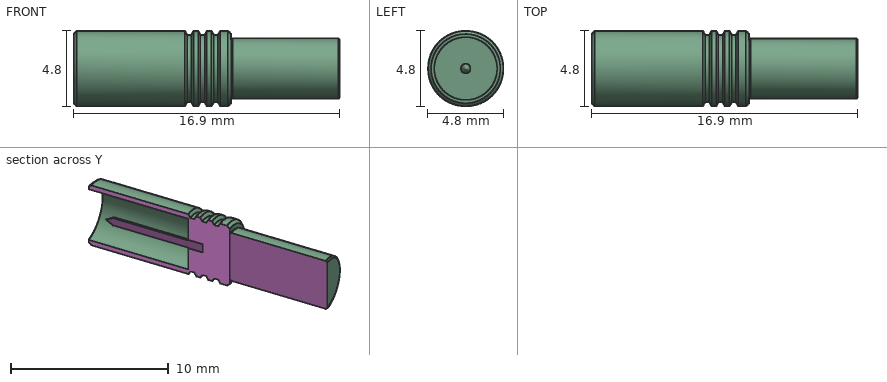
import cadquery as cq
import math

total_length = 16.9
front_x = -total_length / 2
rear_x = front_x + total_length

housing_radius = 2.4
housing_length = 10.0
housing_chamfer = 0.2
bore_radius = 2.0
bore_depth = 7.05

groove_count = 3
first_groove_offset = 7.06
groove_pitch = 0.85
groove_width = 0.55
groove_depth = 0.25
groove_wall_angle = 60.0
groove_wall_run = groove_depth / math.tan(math.radians(groove_wall_angle))

stem_radius = 1.93
stem_chamfer = 0.1

pin_radius = 0.3
pin_tip_offset = 1.2
pin_tip_length = 0.52
pin_seat_depth = 1.01

housing_rear_x = front_x + housing_length
bore_floor_x = front_x + bore_depth
pin_tip_x = front_x + pin_tip_offset
pin_rear_x = bore_floor_x + pin_seat_depth


def cylinder(start_x, end_x, radius):
    """Solid cylinder along X."""
    return cq.Workplane("YZ", origin=(start_x, 0, 0)).circle(radius).extrude(end_x - start_x)


def revolve_profile(points):
    """Turn a closed (x, radius) outline about the X axis."""
    return cq.Workplane("XY").polyline(points).close().revolve(360, (0, 0, 0), (1, 0, 0))


def make_groove_cutter(start_x):
    """Ring with the trapezoidal section of one grip groove."""
    end_x = start_x + groove_width
    root_radius = housing_radius - groove_depth
    return revolve_profile([
        (start_x, housing_radius),
        (start_x + groove_wall_run, root_radius),
        (end_x - groove_wall_run, root_radius),
        (end_x, housing_radius),
    ])


def make_housing():
    """Grooved cup with a blind bore and a seat for the pin in its floor."""
    body = cylinder(front_x, housing_rear_x, housing_radius)
    body = body.faces("<X or >X").chamfer(housing_chamfer)
    body = body.cut(cylinder(front_x, bore_floor_x, bore_radius))
    body = body.cut(cylinder(bore_floor_x, pin_rear_x, pin_radius))
    for index in range(groove_count):
        groove_x = front_x + first_groove_offset + index * groove_pitch
        body = body.cut(make_groove_cutter(groove_x))
    return body


def make_stem():
    """Plain round stem, chamfered at both ends."""
    return cylinder(housing_rear_x, rear_x, stem_radius).faces("<X or >X").chamfer(stem_chamfer)


def make_pin():
    """Round pin with a conical front tip."""
    return revolve_profile([
        (pin_tip_x, 0),
        (pin_tip_x + pin_tip_length, pin_radius),
        (pin_rear_x, pin_radius),
        (pin_rear_x, 0),
    ])


housing = make_housing()
stem = make_stem()
pin = make_pin()

result = cq.Compound.makeCompound([housing.val(), stem.val(), pin.val()])